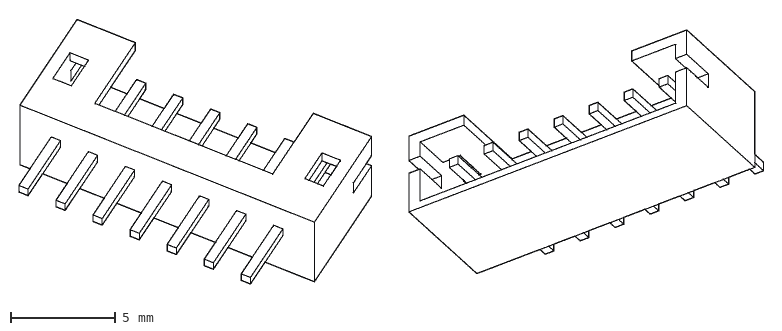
import cadquery as cq


housing_length = 15.9
housing_depth = 6.0
housing_height = 4.5

side_wall = 0.65
rear_wall = 1.75
floor_thickness = 0.4
roof_thickness = 0.6

roof_opening_width = 9.6

window_width = 1.0
window_length = 1.8
window_setback = 2.0

slot_depth = 1.9
left_slot_bottom = 2.25
right_slot_bottom = 2.3
slot_top = 3.05

pin_count = 7
pin_pitch = 2.0
pin_size = 0.5
pin_center_height = 2.8
pin_tail_length = 3.4
pin_tip_setback = 0.95

half_length = housing_length / 2
roof_underside = housing_height - roof_thickness


def box(x_range, y_range, z_range):
    """Axis-aligned block given by its (low, high) limits along each axis."""
    limits = (x_range, y_range, z_range)
    sizes = [high - low for low, high in limits]
    corner = tuple(low for low, high in limits)
    return cq.Workplane("XY").box(*sizes, centered=False).translate(corner)


def make_cavity():
    half_width = half_length - side_wall
    return box(
        (-half_width, half_width),
        (rear_wall, housing_depth),
        (floor_thickness, roof_underside),
    )


def make_roof_opening():
    half_width = roof_opening_width / 2
    return box(
        (-half_width, half_width),
        (rear_wall, housing_depth),
        (roof_underside, housing_height),
    )


def make_left_window():
    left = side_wall - half_length
    front = housing_depth - window_setback
    return box(
        (left, left + window_width),
        (front - window_length, front),
        (roof_underside, housing_height),
    )


def make_side_slot(x_range, bottom):
    return box(x_range, (housing_depth - slot_depth, housing_depth), (bottom, slot_top))


def make_housing():
    left_window = make_left_window()
    body = box((-half_length, half_length), (0, housing_depth), (0, housing_height))
    body = body.cut(make_cavity())
    body = body.cut(make_roof_opening())
    body = body.cut(left_window)
    body = body.cut(left_window.mirror("YZ"))
    body = body.cut(make_side_slot((-half_length, side_wall - half_length), left_slot_bottom))
    return body.cut(make_side_slot((half_length - side_wall, half_length), right_slot_bottom))


def make_pin(x_center):
    half_size = pin_size / 2
    return box(
        (x_center - half_size, x_center + half_size),
        (-pin_tail_length, housing_depth - pin_tip_setback),
        (pin_center_height - half_size, pin_center_height + half_size),
    )


result = make_housing()
first_pin_x = -pin_pitch * (pin_count - 1) / 2
for index in range(pin_count):
    result = result.union(make_pin(first_pin_x + index * pin_pitch))